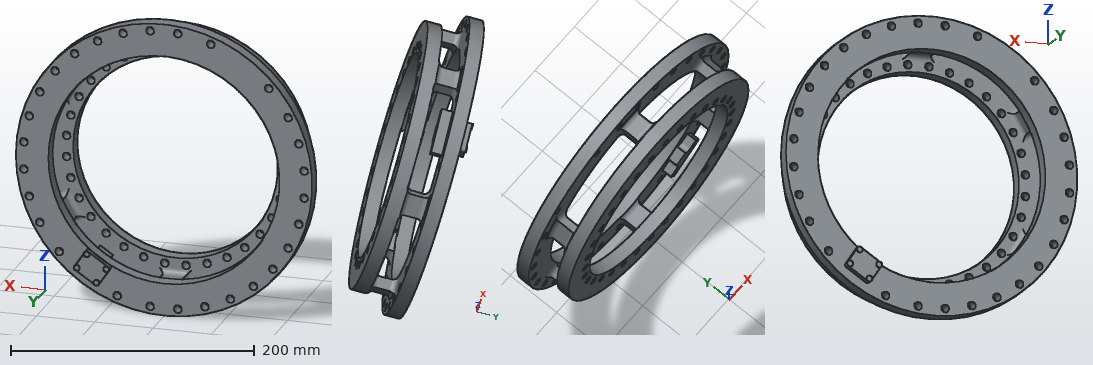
import cadquery as cq
import math

ring_thickness = 12.35
ring_gap = 19.75
back_ring_front = ring_thickness + ring_gap
back_ring_back = back_ring_front + ring_thickness

front_outer_radius = 114.3
front_inner_radius = 87.63

back_outer_radius = 127.0
back_inner_radius = 99.06

hole_diameter = 6.6
hole_count = 32
hole_pitch = 360 / hole_count
front_bolt_radius = 93.66
back_bolt_radius = 120.65

station_angles = (-56.25, 123.75)
station_clearance = 2 * hole_pitch
station_hole_offset = 14.35

post_count = 6
first_post_angle = 30
post_pitch = 360 / post_count
post_width = 19.05
post_depth = 9.9
post_radius = 106.4
post_fillet = 4.76
flange_thickness = 3.0
flange_margin = 2 * post_fillet

block_angle = station_angles[0]
block_radius = 108.7
plate_length = 24.9
plate_width = 20.2
plate_thickness = 5.08
plate_corner_radius = 2.0
stud_diameter = 5.08
stud_height = 0.74
stud_spacing_tangential = 20.32
stud_spacing_radial = 15.24
tee_height = 9.2
tee_length = 38.1
tee_stem_width = 13.2
tee_stem_inner = block_radius - 8.6
tee_bar_inner = block_radius - 3.0
tee_bar_outer = block_radius + 3.8
tee_fillet = 4.0


def plane_at(y):
    """Sketch plane normal to the ring axis, with local x along X and local y along Z."""
    return cq.Workplane("XZ", origin=(0, y, 0))


def turn(body, angle):
    """Turn a body made on the +X axis to the given angle in the XZ plane."""
    return body.rotate((0, 0, 0), (0, 1, 0), -angle)


def holes(radius, angles, y):
    """Cutters for through holes on a bolt circle of a ring whose front face is at y."""
    points = [
        (radius * math.cos(math.radians(a)), radius * math.sin(math.radians(a)))
        for a in angles
    ]
    return plane_at(y).pushPoints(points).circle(hole_diameter / 2).extrude(-ring_thickness)


def front_ring():
    angles = [(i + 0.5) * hole_pitch for i in range(hole_count)]
    ring = (
        plane_at(0)
        .circle(front_outer_radius)
        .circle(front_inner_radius)
        .extrude(-ring_thickness)
    )
    return ring.cut(holes(front_bolt_radius, angles, 0))


def near_station(angle):
    """True where the regular hole pattern is interrupted."""
    offsets = [abs((angle - s + 180) % 360 - 180) for s in station_angles]
    return min(offsets) < station_clearance


def back_ring():
    regular = [(i + 0.5) * hole_pitch for i in range(hole_count)]
    angles = [a for a in regular if not near_station(a)]
    for station in station_angles:
        angles += [station - station_hole_offset, station + station_hole_offset]
    ring = (
        plane_at(back_ring_front)
        .circle(back_outer_radius)
        .circle(back_inner_radius)
        .extrude(-ring_thickness)
    )
    return ring.cut(holes(back_bolt_radius, angles, back_ring_front))


def flared_post():
    """Post with concave fillets at both ends, trimmed to the edges of the two rings."""

    def slab(y):
        return (
            plane_at(y)
            .center(post_radius, 0)
            .rect(post_depth + 2 * flange_margin, post_width + 2 * flange_margin)
            .extrude(-flange_thickness)
        )

    column = (
        plane_at(ring_thickness)
        .center(post_radius, 0)
        .rect(post_depth, post_width)
        .extrude(-ring_gap)
    )
    post = column.union(slab(ring_thickness - flange_thickness)).union(slab(back_ring_front))
    reach_radial = post_depth / 2 + post_fillet
    reach_tangential = post_width / 2 + post_fillet
    roots = cq.selectors.BoxSelector(
        (post_radius - reach_radial, 0, -reach_tangential),
        (post_radius + reach_radial, back_ring_back, reach_tangential),
    )
    post = post.edges(roots).edges("not |Y").fillet(post_fillet)
    half_gap = ring_gap / 2
    front_half = plane_at(ring_thickness).circle(front_outer_radius).extrude(-half_gap)
    back_half = (
        plane_at(ring_thickness + half_gap)
        .circle(front_outer_radius)
        .circle(back_inner_radius)
        .extrude(-half_gap)
    )
    return post.intersect(front_half.union(back_half))


def stud_plate():
    """Rounded plate with four low studs on the back face of the back ring."""
    plate = (
        plane_at(back_ring_back)
        .center(block_radius, 0)
        .rect(plate_width, plate_length)
        .extrude(-plate_thickness)
        .edges("|Y")
        .fillet(plate_corner_radius)
    )
    studs = (
        plane_at(back_ring_back + plate_thickness)
        .center(block_radius, 0)
        .rarray(stud_spacing_radial, stud_spacing_tangential, 2, 2)
        .circle(stud_diameter / 2)
        .extrude(-stud_height)
    )
    return plate.union(studs)


def tee_block():
    """T-shaped block on the front face of the back ring, its stem pointing at the axis."""
    half_length = tee_length / 2
    half_stem = tee_stem_width / 2
    block = (
        plane_at(back_ring_front)
        .moveTo(tee_bar_outer, -half_length)
        .lineTo(tee_bar_outer, half_length)
        .lineTo(tee_bar_inner, half_length)
        .lineTo(tee_bar_inner, half_stem + tee_fillet)
        .radiusArc((tee_bar_inner - tee_fillet, half_stem), tee_fillet)
        .lineTo(tee_stem_inner, half_stem)
        .lineTo(tee_stem_inner, -half_stem)
        .lineTo(tee_bar_inner - tee_fillet, -half_stem)
        .radiusArc((tee_bar_inner, -half_stem - tee_fillet), tee_fillet)
        .lineTo(tee_bar_inner, -half_length)
        .close()
    )
    return block.extrude(tee_height)


result = front_ring().union(back_ring())
post = flared_post()
for i in range(post_count):
    result = result.union(turn(post, first_post_angle + i * post_pitch))
result = result.union(turn(stud_plate(), block_angle))
result = result.union(turn(tee_block(), block_angle))